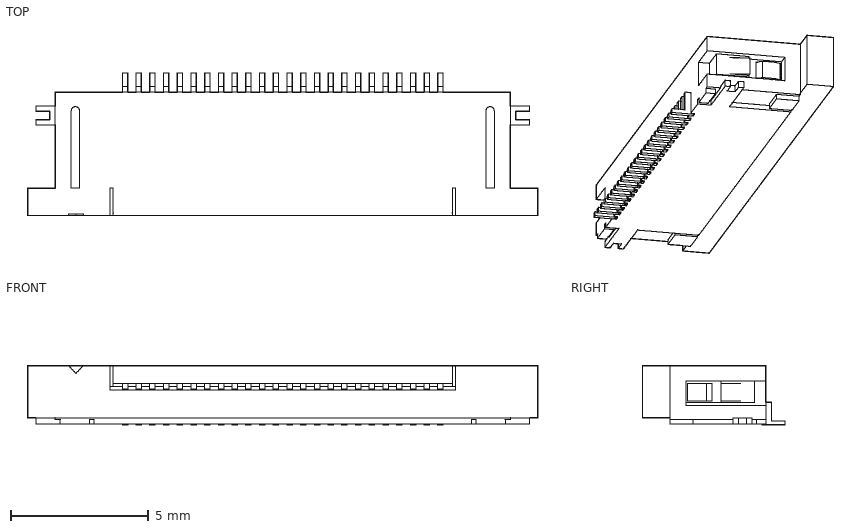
import cadquery as cq


overall_height = 2.16
ear_span = 18.6
ear_depth = 1.0
ear_bottom = 0.26
body_width = 16.6
body_depth = 4.5
body_bottom = 0.205

base_bottom = 0.03
base_half_width = 6.88
foot_outer_x = 8.12
foot_inner_x = 7.04
front_foot_end = 1.85
rear_foot_start = 4.15

slot_half_width = 6.3
slot_bottom = 1.28
slot_top = 1.51
slot_depth = 3.0
slot_ceiling = 1.4
slot_lead_in = 0.1
cut_width = 0.12

contact_count = 24
contact_pitch = 0.5
contact_width = 0.2
contact_thickness = 0.15
contact_end = 5.2
contact_foot_start = 4.36
contact_leg_thickness = 0.21
contact_leg_top = 0.83
beam_bottom = 1.3
beam_start = 0.2
beam_ramp_end = 0.6

groove_x = 7.56
groove_width = 0.3
groove_end = 3.97
groove_depth = 0.4

window_bottom = 0.7
window_top = 1.6
window_start = 1.58
window_floor_x = 7.0
latch_rear_x = 8.06
latch_front_x = 7.8
latch_bottom = 0.81
latch_end = 4.09
bump_bottom = 0.87
bump_top = 1.5
hook_x = 8.19
hook_start = 2.87
hook_end = 3.58
catch_x = 7.96
catch_start = 1.64
catch_flat_start = 1.9
catch_flat_end = 2.33
catch_end = 2.54
catch_front_x = 7.88

tab_outer_x = 9.0
tab_notch_x = 8.5
tab_start = 3.3
tab_end = 4.0
prong_width = 0.2
tab_top = 0.26

mark_x = 7.54
mark_half_width = 0.27
mark_height = 0.28
mark_depth = 0.06


def block(x0, x1, y0, y1, z0, z1):
    """Box between two opposite corners."""
    return cq.Workplane("XY").box(x1 - x0, y1 - y0, z1 - z0, centered=False).translate((x0, y0, z0))


def prism(points, z0, z1):
    """Upright prism on a polygon in X and Y."""
    return cq.Workplane("XY").workplane(offset=z0).polyline(points).close().extrude(z1 - z0)


def side_prism(points, x0, x1):
    """Prism along X on a polygon in Y and Z."""
    return cq.Workplane("YZ").workplane(offset=x0).polyline(points).close().extrude(x1 - x0)


def both_ends(left_shape):
    """The shape at the -X end together with its mirror image at the +X end."""
    return left_shape.union(left_shape.mirror("YZ"))


def housing():
    ears = block(-ear_span / 2, ear_span / 2, 0, ear_depth, ear_bottom, overall_height)
    body = block(-body_width / 2, body_width / 2, 0, body_depth, body_bottom, overall_height)
    body = body.cut(block(-body_width / 2, body_width / 2, 0, ear_depth, body_bottom, ear_bottom))
    base = block(-base_half_width, base_half_width, ear_depth, body_depth, base_bottom, body_bottom)
    front_foot = block(-foot_outer_x, -foot_inner_x, ear_depth, front_foot_end, base_bottom, body_bottom)
    rear_foot = block(-foot_outer_x, -foot_inner_x, rear_foot_start, body_depth, base_bottom, body_bottom)
    return ears.union(body).union(base).union(both_ends(front_foot.union(rear_foot)))


def cable_slot():
    profile = [
        (0, slot_bottom),
        (slot_depth, slot_bottom),
        (slot_depth, slot_ceiling),
        (slot_lead_in, slot_ceiling),
        (0, slot_top),
    ]
    slot = side_prism(profile, -slot_half_width, slot_half_width)
    tongue_cut = block(-slot_half_width, cut_width - slot_half_width, 0, ear_depth, slot_bottom, overall_height)
    return slot.union(both_ends(tongue_cut))


def top_groove():
    radius = groove_width / 2
    return (
        cq.Workplane("XY")
        .workplane(offset=overall_height - groove_depth)
        .moveTo(-groove_x - radius, ear_depth)
        .lineTo(-groove_x + radius, ear_depth)
        .lineTo(-groove_x + radius, groove_end - radius)
        .threePointArc((-groove_x, groove_end), (-groove_x - radius, groove_end - radius))
        .close()
        .extrude(groove_depth)
    )


def side_window():
    return block(-body_width / 2, -window_floor_x, window_start, body_depth, window_bottom, window_top)


def latch_block():
    body = [
        (-window_floor_x, latch_end),
        (-latch_rear_x, latch_end),
        (-latch_rear_x, hook_start),
        (-latch_front_x, hook_start),
        (-latch_front_x, window_start),
        (-window_floor_x, window_start),
    ]
    hook = [
        (-latch_rear_x, hook_end),
        (-hook_x, hook_start),
        (-latch_front_x, hook_start),
        (-latch_front_x, hook_end),
    ]
    catch = [
        (-latch_front_x, catch_end),
        (-catch_x, catch_flat_end),
        (-catch_x, catch_flat_start),
        (-catch_front_x, catch_start),
        (-latch_front_x, catch_start),
    ]
    latch = prism(body, latch_bottom, window_top)
    for bump in (hook, catch):
        latch = latch.union(prism(bump, bump_bottom, bump_top))
    return latch


def solder_tab():
    tab = block(-tab_outer_x, -base_half_width, tab_start, tab_end, base_bottom, tab_top)
    gap = block(
        -tab_outer_x, -tab_notch_x, tab_start + prong_width, tab_end - prong_width, base_bottom, tab_top
    )
    return tab.cut(gap)


def contact_relief(x):
    """Ramped notch in the front edge of the slot ceiling, leading to one contact beam."""
    profile = [(0, slot_ceiling), (beam_start, slot_ceiling), (0, slot_top)]
    return side_prism(profile, x - contact_width / 2, x + contact_width / 2)


def contact(x):
    """One contact: solder foot, upright leg behind the housing, and beam inside the slot."""
    x0 = x - contact_width / 2
    x1 = x + contact_width / 2
    foot = block(x0, x1, contact_foot_start, contact_end, 0, contact_thickness)
    leg = block(x0, x1, body_depth, body_depth + contact_leg_thickness, 0, contact_leg_top)
    beam_profile = [
        (beam_start, slot_ceiling),
        (beam_ramp_end, beam_bottom),
        (slot_depth, beam_bottom),
        (slot_depth, slot_ceiling),
    ]
    beam = side_prism(beam_profile, x0, x1)
    return foot.union(leg).union(beam)


def pin_one_mark():
    return (
        cq.Workplane("XZ")
        .moveTo(-mark_x - mark_half_width, overall_height)
        .lineTo(-mark_x + mark_half_width, overall_height)
        .lineTo(-mark_x, overall_height - mark_height)
        .close()
        .extrude(-mark_depth)
    )


result = housing().cut(cable_slot()).cut(both_ends(top_groove())).cut(pin_one_mark())
result = result.cut(both_ends(side_window())).union(both_ends(latch_block()))
result = result.union(both_ends(solder_tab()))
for index in range(contact_count):
    contact_x = (index - (contact_count - 1) / 2) * contact_pitch
    result = result.cut(contact_relief(contact_x)).union(contact(contact_x))